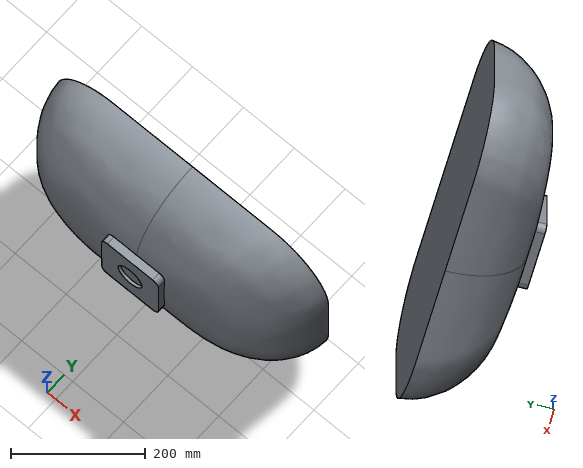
import cadquery as cq
import math

RIM_LENGTH = 535.0
RIM_HEIGHT = 330.0
RIM_CORNER_RADIUS = 112.5
CORNER_GROWTH = 0.2
CROWN_DEPTH = 129.5
END_ARC_RADIUS = 119.0
SIDE_ARC_RADIUS = 128.0
BOWL_DEPTH = 128.5
WALL_SWEEP = 75.0
WALL_STEPS = 6
BASE_STEPS = 4
CORNER_STEPS = 4

FOOT_SIZE = 111.5
FOOT_CORNER_RADIUS = 11.0
FOOT_HEIGHT = 13.0
FOOT_ROOT = 10.5
RECESS_DIAMETER = 46.5
RECESS_DEPTH = 5.5


def half_width(depth, rim_half_width, wall_radius):
    """Half width of the dome at a depth: a wall arc tangent to a shallow base arc."""
    wall_centre = rim_half_width - wall_radius
    base_radius = (wall_centre**2 + CROWN_DEPTH**2 - wall_radius**2) / (2 * (CROWN_DEPTH - wall_radius))
    base_centre = CROWN_DEPTH - base_radius
    tangent_depth = -base_centre * wall_radius / (base_radius - wall_radius)
    if depth <= tangent_depth:
        return wall_centre + math.sqrt(wall_radius**2 - depth**2)
    return math.sqrt(base_radius**2 - (depth - base_centre) ** 2)


def bowl_section(depth):
    """Rounded rectangle across the dome, as two mirrored curves meeting at X = 0."""
    half_x = half_width(depth, RIM_LENGTH / 2, END_ARC_RADIUS)
    half_z = half_width(depth, RIM_HEIGHT / 2, SIDE_ARC_RADIUS)
    corner_share = RIM_CORNER_RADIUS / (RIM_HEIGHT / 2) + CORNER_GROWTH * depth / CROWN_DEPTH
    corner = corner_share * half_z
    flat_x = half_x - corner
    flat_z = half_z - corner

    quarter = [(0, half_z, 0), (flat_x / 2, half_z, 0)]
    for step in range(CORNER_STEPS + 1):
        turn = 90 * step / CORNER_STEPS
        angle = math.radians(turn)
        quarter.append((flat_x + corner * math.sin(angle), flat_z + corner * math.cos(angle), turn))
    half = quarter + [(half_x, 0, 90)] + [(x, -z, 180 - turn) for x, z, turn in reversed(quarter)]

    points = [cq.Vector(x, -depth, z) for x, z, _ in half]
    directions = [
        cq.Vector(math.cos(math.radians(turn)), 0, -math.sin(math.radians(turn))) for _, _, turn in half
    ]
    right = cq.Edge.makeSpline(points, tangents=directions)
    left = right.mirror("YZ")
    return cq.Wire.assembleEdges([right, left])


def make_bowl():
    wall_angles = [WALL_SWEEP * step / WALL_STEPS for step in range(WALL_STEPS + 1)]
    depths = [END_ARC_RADIUS * math.sin(math.radians(angle)) for angle in wall_angles]
    wall_depth = depths[-1]
    for step in range(1, BASE_STEPS + 1):
        remaining = (1 - step / BASE_STEPS) ** 2
        depths.append(BOWL_DEPTH - (BOWL_DEPTH - wall_depth) * remaining)
    return cq.Workplane(cq.Solid.makeLoft([bowl_section(depth) for depth in depths]))


def make_foot(bowl):
    face_y = -(BOWL_DEPTH + FOOT_HEIGHT)
    plate = (
        cq.Workplane("XZ", origin=(0, face_y, 0))
        .rect(FOOT_SIZE, FOOT_SIZE)
        .extrude(-(FOOT_HEIGHT + FOOT_ROOT))
        .edges("|Y")
        .fillet(FOOT_CORNER_RADIUS)
    )
    recess = (
        cq.Workplane("XZ", origin=(0, face_y, 0))
        .circle(RECESS_DIAMETER / 2)
        .extrude(-RECESS_DEPTH)
    )
    return plate.cut(recess).cut(bowl)


bowl = make_bowl()
foot = make_foot(bowl)

result = cq.Compound.makeCompound([bowl.val(), *foot.vals()])